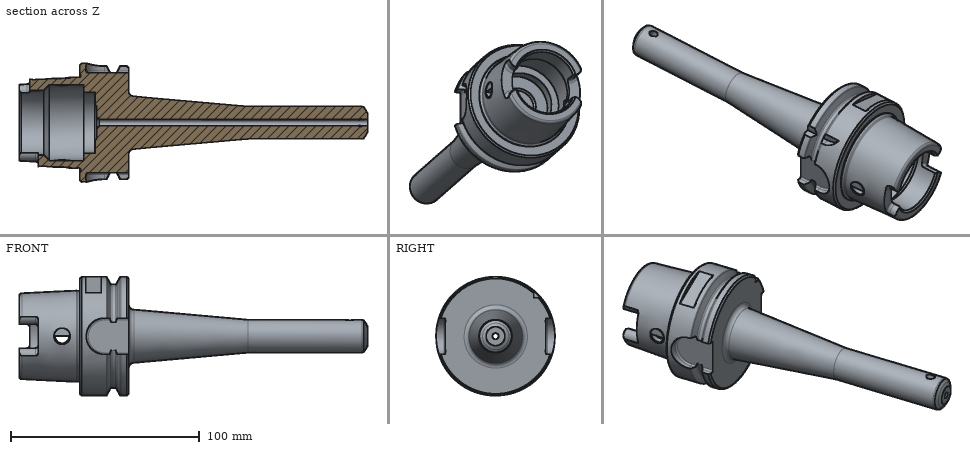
import cadquery as cq
import math


OVERALL_LENGTH = 184.4
TAPER_LENGTH = 32.0
FLANGE_WIDTH = 26.0
TAPER_END = -TAPER_LENGTH
TIP = OVERALL_LENGTH - TAPER_LENGTH

TAPER_GAUGE_DIAMETER = 48.01
TAPER_GAUGE_X = -6.3
TAPER_RATIO = 0.1
TAPER_STOP = -1.8
TAPER_END_ROUND = 1.4
NECK_START = -1.2
NECK_DIAMETER = 48.24
RELIEF_OUTER_DIAMETER = 51.0
RELIEF_DEPTH = 0.5
RELIEF_CORNER_ROUND = 1.1

FLANGE_DIAMETER = 63.0
FLANGE_CHAMFER = 1.0
GROOVE_CENTRE = 17.8
GROOVE_BOTTOM_DIAMETER = 55.0
GROOVE_BOTTOM_WIDTH = 2.9
GROOVE_FLANK_ANGLE = 28.0
GROOVE_EDGE_ROUND = 0.5
GROOVE_CORNER_ROUND = 0.8

CONE_START_DIAMETER = 28.3
CONE_ROOT_ROUND = 2.6
CONE_END = 89.0
SHANK_DIAMETER = 17.53
TIP_DIAMETERS = (SHANK_DIAMETER, 17.0, 14.0, 10.0)
TIP_STEP = 1.1

MOUTH_DIAMETER = 36.0
BORE_DIAMETER = 34.0
CLAMP_GROOVE_DIAMETER = 40.0
INNER_BORE_DIAMETER = 32.0
CLAMP_GROOVE_START = -19.0
CLAMP_GROOVE_END = 2.0
INNER_BORE_FLOOR = 8.0
RECESS_DIAMETER = 19.0
RECESS_FLOOR_DIAMETER = 17.0
RECESS_DEPTH = 1.0
COOLANT_MOUTH_DIAMETER = 6.0
COOLANT_DIAMETER = 3.17

DRIVE_SLOT_WIDTH = 12.54
DRIVE_SLOT_DEPTHS = {-1: 10.0, 1: 5.5}
DRIVE_SLOT_END_ROUND = 1.5
DRIVE_SHOULDER_Y = 20.3
DRIVE_SHOULDER_ROUND = 4.1

KEY_SLOT_WIDTH = 19.1
KEY_SLOT_CENTRE_X = 13.0
KEY_SLOT_FLOOR_Y = 26.5
KEY_SLOT_FLOOR_ROUND = 0.9
NOTCH_EDGE = 20.3

FLAT_START = 3.1
FLAT_LENGTH = 8.4
FLAT_DIRECTION = 21.5
FLAT_HALF_ANGLE = 21.3

ACCESS_X = -9.35
ACCESS_DIAMETER = 7.5
ACCESS_RIM_DIAMETER = 8.6
ACCESS_RIM_DEPTH = 0.3

CROSS_HOLE_DIAMETER = 3.96
CROSS_HOLE_TO_TIP = 9.55
CROSS_HOLE_TILT = -35.0


def taper_radius(x):
    return (TAPER_GAUGE_DIAMETER + TAPER_RATIO * (x - TAPER_GAUGE_X)) / 2


def revolve_about_x(profile):
    """Solid of revolution whose seam faces away from the slots."""
    solid = profile.close().revolve(360, (0, 0, 0), (1, 0, 0))
    return solid.rotate((0, 0, 0), (1, 0, 0), -90)


def turned_taper():
    neck_radius = NECK_DIAMETER / 2
    profile = (
        cq.Workplane("XY")
        .moveTo(TAPER_END, 0)
        .lineTo(TAPER_END, taper_radius(TAPER_END))
        .lineTo(TAPER_STOP, taper_radius(TAPER_STOP))
        .lineTo(NECK_START, neck_radius)
        .lineTo(RELIEF_DEPTH - RELIEF_CORNER_ROUND, neck_radius)
        .radiusArc((RELIEF_DEPTH, neck_radius + RELIEF_CORNER_ROUND), -RELIEF_CORNER_ROUND)
        .lineTo(RELIEF_DEPTH, 0)
    )
    return revolve_about_x(profile).faces("<X").edges().fillet(TAPER_END_ROUND)


def gripper_groove():
    """Half widths of the gripper groove at its bottom and at the flange rim."""
    radius = FLANGE_DIAMETER / 2
    bottom = GROOVE_BOTTOM_DIAMETER / 2
    half_bottom = GROOVE_BOTTOM_WIDTH / 2
    half_top = half_bottom + (radius - bottom) * math.tan(math.radians(GROOVE_FLANK_ANGLE))
    return half_bottom, half_top


def turned_flange():
    radius = FLANGE_DIAMETER / 2
    bottom = GROOVE_BOTTOM_DIAMETER / 2
    half_bottom, half_top = gripper_groove()
    relief = RELIEF_OUTER_DIAMETER / 2
    profile = (
        cq.Workplane("XY")
        .moveTo(RELIEF_DEPTH, 0)
        .lineTo(RELIEF_DEPTH, relief)
        .lineTo(0, relief)
        .lineTo(0, radius - FLANGE_CHAMFER)
        .lineTo(FLANGE_CHAMFER, radius)
        .lineTo(GROOVE_CENTRE - half_top, radius)
        .lineTo(GROOVE_CENTRE - half_bottom, bottom)
        .lineTo(GROOVE_CENTRE + half_bottom, bottom)
        .lineTo(GROOVE_CENTRE + half_top, radius)
        .lineTo(FLANGE_WIDTH - FLANGE_CHAMFER, radius)
        .lineTo(FLANGE_WIDTH, radius - FLANGE_CHAMFER)
        .lineTo(FLANGE_WIDTH, 0)
    )
    flange = revolve_about_x(profile)

    def groove_edges(half_width, edge_radius):
        return [
            edge
            for edge in flange.edges("%CIRCLE").vals()
            if abs(abs(edge.Center().x - GROOVE_CENTRE) - half_width) < 0.01
            and abs(edge.radius() - edge_radius) < 0.01
        ]

    flange = flange.newObject(groove_edges(half_bottom, bottom)).fillet(GROOVE_CORNER_ROUND)
    return flange.newObject(groove_edges(half_top, radius)).fillet(GROOVE_EDGE_ROUND)


def turned_extension():
    cone_start = FLANGE_WIDTH + CONE_ROOT_ROUND
    cone_radius = CONE_START_DIAMETER / 2
    root_radius = cone_radius + CONE_ROOT_ROUND
    arc_drop = CONE_ROOT_ROUND * math.sqrt(0.5)
    profile = (
        cq.Workplane("XY")
        .moveTo(FLANGE_WIDTH, 0)
        .lineTo(FLANGE_WIDTH, root_radius)
        .threePointArc((cone_start - arc_drop, root_radius - arc_drop), (cone_start, cone_radius))
        .lineTo(CONE_END, SHANK_DIAMETER / 2)
    )
    for index, diameter in enumerate(TIP_DIAMETERS):
        steps_left = len(TIP_DIAMETERS) - 1 - index
        profile = profile.lineTo(TIP - steps_left * TIP_STEP, diameter / 2)
    return revolve_about_x(profile.lineTo(TIP, 0))


def bore():
    mouth_depth = (MOUTH_DIAMETER - BORE_DIAMETER) / 2
    groove_rise = (CLAMP_GROOVE_DIAMETER - BORE_DIAMETER) / 2
    recess_floor = INNER_BORE_FLOOR + RECESS_DEPTH
    coolant_cone = (COOLANT_MOUTH_DIAMETER - COOLANT_DIAMETER) / 2
    profile = (
        cq.Workplane("XY")
        .moveTo(TAPER_END, 0)
        .lineTo(TAPER_END, MOUTH_DIAMETER / 2)
        .lineTo(TAPER_END + mouth_depth, BORE_DIAMETER / 2)
        .lineTo(CLAMP_GROOVE_START, BORE_DIAMETER / 2)
        .lineTo(CLAMP_GROOVE_START + groove_rise, CLAMP_GROOVE_DIAMETER / 2)
        .lineTo(CLAMP_GROOVE_END, CLAMP_GROOVE_DIAMETER / 2)
        .lineTo(CLAMP_GROOVE_END, INNER_BORE_DIAMETER / 2)
        .lineTo(INNER_BORE_FLOOR, INNER_BORE_DIAMETER / 2)
        .lineTo(INNER_BORE_FLOOR, RECESS_DIAMETER / 2)
        .lineTo(recess_floor, RECESS_FLOOR_DIAMETER / 2)
        .lineTo(recess_floor, COOLANT_MOUTH_DIAMETER / 2)
        .lineTo(recess_floor + coolant_cone, COOLANT_DIAMETER / 2)
        .lineTo(TIP, COOLANT_DIAMETER / 2)
        .lineTo(TIP, 0)
    )
    return revolve_about_x(profile)


def drive_slot(side):
    """Slot open to the taper end, wider outside a rounded shoulder."""
    outside = FLANGE_DIAMETER / 2
    half_width = DRIVE_SLOT_WIDTH / 2
    half_opening = half_width + DRIVE_SHOULDER_ROUND
    round_start_y = DRIVE_SHOULDER_Y - DRIVE_SHOULDER_ROUND
    slant = DRIVE_SHOULDER_ROUND * math.sqrt(0.5)
    middle = (round_start_y + slant, half_opening - slant)
    slot = (
        cq.Workplane("YZ", origin=(TAPER_END, 0, 0))
        .moveTo(0, -half_width)
        .lineTo(round_start_y, -half_width)
        .threePointArc((middle[0], -middle[1]), (DRIVE_SHOULDER_Y, -half_opening))
        .lineTo(outside, -half_opening)
        .lineTo(outside, half_opening)
        .lineTo(DRIVE_SHOULDER_Y, half_opening)
        .threePointArc(middle, (round_start_y, half_width))
        .lineTo(0, half_width)
        .close()
        .extrude(DRIVE_SLOT_DEPTHS[side])
    )
    side_walls = cq.selectors.BoxSelector(
        (TAPER_END + DRIVE_SLOT_DEPTHS[side] - 0.1, 0.1, -half_opening - 0.1),
        (TAPER_END + DRIVE_SLOT_DEPTHS[side] + 0.1, outside - 0.1, half_opening + 0.1),
    )
    slot = slot.edges(side_walls).fillet(DRIVE_SLOT_END_ROUND)
    return slot if side > 0 else slot.mirror("XZ")


def key_slot(side, floor_y, centre_z=0.0, floor_round=0.0):
    """Slot across the flange rim, round at one end and open towards +X."""
    half_width = KEY_SLOT_WIDTH / 2
    open_end = FLANGE_WIDTH + half_width
    slot = (
        cq.Workplane("XZ", origin=(0, floor_y, 0))
        .moveTo(open_end, centre_z - half_width)
        .lineTo(KEY_SLOT_CENTRE_X, centre_z - half_width)
        .threePointArc(
            (KEY_SLOT_CENTRE_X - half_width, centre_z),
            (KEY_SLOT_CENTRE_X, centre_z + half_width),
        )
        .lineTo(open_end, centre_z + half_width)
        .close()
        .extrude(-FLANGE_DIAMETER / 2)
    )
    if floor_round:
        slot = slot.faces("<Y").edges().fillet(floor_round)
    return slot if side > 0 else slot.mirror("XZ")


def rim_flat():
    chord_distance = FLANGE_DIAMETER / 2 * math.cos(math.radians(FLAT_HALF_ANGLE))
    block = cq.Workplane("XY", origin=(FLAT_START, 0, chord_distance)).box(
        FLAT_LENGTH, FLANGE_DIAMETER, FLANGE_DIAMETER, centered=(False, True, False)
    )
    return block.rotate((0, 0, 0), (1, 0, 0), FLAT_DIRECTION)


def cross_cylinder(diameter):
    return (
        cq.Workplane("XZ", origin=(ACCESS_X, 0, 0))
        .circle(diameter / 2)
        .extrude(FLANGE_DIAMETER / 2, both=True)
    )


def access_holes():
    """Half-round openings below the axis plane, each inside a shallow round rim."""
    lower_half = cq.Workplane("XY").box(
        OVERALL_LENGTH, FLANGE_DIAMETER, FLANGE_DIAMETER, centered=(True, True, False)
    ).mirror("XY")
    opening = cross_cylinder(ACCESS_DIAMETER).intersect(lower_half)
    core_profile = (
        cq.Workplane("XY")
        .moveTo(TAPER_END, 0)
        .lineTo(TAPER_END, taper_radius(TAPER_END) - ACCESS_RIM_DEPTH)
        .lineTo(0, taper_radius(0) - ACCESS_RIM_DEPTH)
        .lineTo(0, 0)
    )
    rim = cross_cylinder(ACCESS_RIM_DIAMETER).cut(revolve_about_x(core_profile))
    return opening, rim


def cross_hole():
    """Slanted hole from the axis out through the top of the shank."""
    mouth_x = TIP - CROSS_HOLE_TO_TIP
    radius = SHANK_DIAMETER / 2
    axis_x = mouth_x - radius * math.tan(math.radians(CROSS_HOLE_TILT))
    hole = cq.Workplane("XY").circle(CROSS_HOLE_DIAMETER / 2).extrude(SHANK_DIAMETER)
    return hole.rotate((0, 0, 0), (0, 1, 0), CROSS_HOLE_TILT).translate((axis_x, 0, 0))


result = turned_taper().union(turned_flange()).union(turned_extension()).cut(bore())
for y_side in (-1, 1):
    result = result.cut(drive_slot(y_side))
    result = result.cut(key_slot(y_side, KEY_SLOT_FLOOR_Y, floor_round=KEY_SLOT_FLOOR_ROUND))
result = result.cut(key_slot(1, NOTCH_EDGE, centre_z=NOTCH_EDGE + KEY_SLOT_WIDTH / 2))
result = result.cut(rim_flat())
for cutter in access_holes():
    result = result.cut(cutter)
result = result.cut(cross_hole())